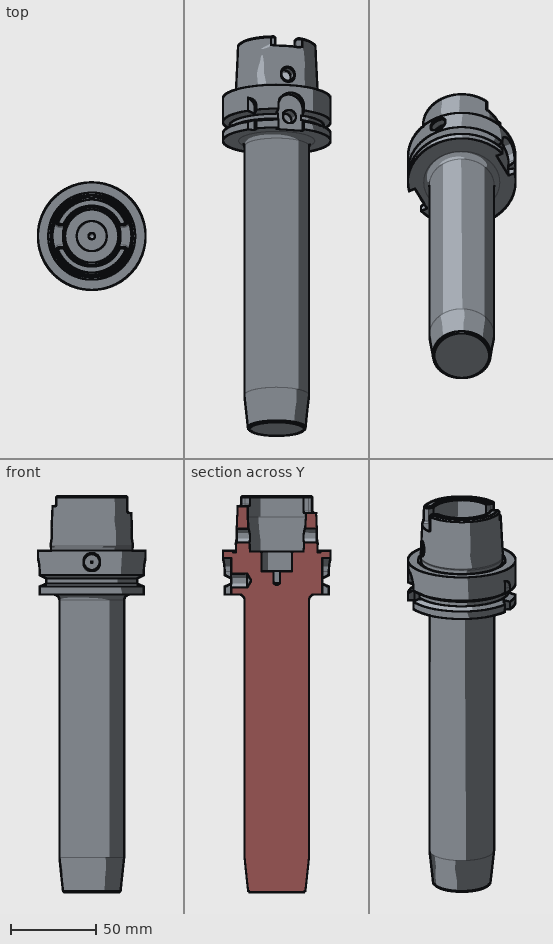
import cadquery as cq
import math


total_length = 232.0
nose_cone_height = 20.5
flange_bottom = 174.2
flange_face = 200.0
groove_bottom_edge = 178.8
groove_floor_bottom = 180.7
groove_floor_top = 183.5
groove_top_edge = 185.5

shank_radius = 19.0
nose_radius = 17.0
nose_chamfer = 1.0
shank_fillet = 3.2
flange_radius = 31.5
groove_radius = 27.5

taper_base_radius = 24.1
taper_top_radius = 22.7
taper_base = 202.5
relief_radius = 24.0
relief_step_height = 1.0
recess_radius = 25.5
recess_depth = 1.0
rim_chamfer_width = 1.5
rim_chamfer_height = 1.0

bore_radius = 17.0
bore_chamfer = 1.0
bore_straight_depth = 12.3
bore_floor_radius = 15.5
bore_floor = 199.5
thread_radius = 8.8
thread_depth = 11.5
coolant_radius = 1.9
coolant_depth = 7.0

slot_half_width = 6.3
slot_mouth_radius = 2.3
slot_floor_fillet = 1.2
slot_rim_chamfer = 1.0
left_slot_depth = 6.0
right_slot_depth = 10.0

cross_hole_radius = 4.0
cross_hole_height = 208.7
cross_hole_countersink = 0.7

keyway_half_width = 8.0
keyway_center_height = 187.5
keyway_floor = 26.7
keyway_hole_radius = 4.0
keyway_hole_height = 182.3
keyway_hole_depth = 9.3

notch_radius = 6.0
notch_center_y = 25.5
notch_center_height = 187.5
notch_floor = 20.9

chip_hole_radius = 4.6
chip_hole_height = 193.2
chip_hole_floor = 26.5
chip_hole_countersink = 0.7
chip_pinhole_radius = 0.5
chip_pinhole_depth = 2.3

drill_point_angle = 118.0


def make_body():
    """Turned outer shape, revolved about Z."""
    fillet_top_radius = shank_radius + shank_fillet
    fillet_mid = shank_fillet * (1 - math.sqrt(0.5))
    profile = (
        cq.Workplane("XZ")
        .moveTo(0, 0)
        .lineTo(nose_radius - nose_chamfer, 0)
        .lineTo(nose_radius, nose_chamfer)
        .lineTo(shank_radius, nose_cone_height)
        .lineTo(shank_radius, flange_bottom - shank_fillet)
        .threePointArc(
            (shank_radius + fillet_mid, flange_bottom - fillet_mid),
            (fillet_top_radius, flange_bottom),
        )
        .lineTo(flange_radius, flange_bottom)
        .lineTo(flange_radius, groove_bottom_edge)
        .lineTo(groove_radius, groove_floor_bottom)
        .lineTo(groove_radius, groove_floor_top)
        .lineTo(flange_radius, groove_top_edge)
        .lineTo(flange_radius, flange_face)
        .lineTo(recess_radius, flange_face)
        .lineTo(recess_radius, flange_face - recess_depth)
        .lineTo(relief_radius, flange_face - recess_depth)
        .lineTo(relief_radius, taper_base - relief_step_height)
        .lineTo(taper_base_radius, taper_base)
        .lineTo(taper_top_radius, total_length - rim_chamfer_height)
        .lineTo(taper_top_radius - rim_chamfer_width, total_length)
        .lineTo(0, total_length)
        .close()
    )
    return profile.revolve(360, (0, 0, 0), (0, 1, 0))


def make_bore():
    """Stepped bore entered from the taper end, with a conical bottom."""
    thread_floor = bore_floor - thread_depth
    coolant_floor = thread_floor - coolant_depth
    coolant_tip = coolant_floor - drill_tip(coolant_radius)
    profile = (
        cq.Workplane("XZ")
        .moveTo(0, total_length)
        .lineTo(bore_radius + bore_chamfer, total_length)
        .lineTo(bore_radius, total_length - bore_chamfer)
        .lineTo(bore_radius, total_length - bore_straight_depth)
        .lineTo(bore_floor_radius, bore_floor)
        .lineTo(thread_radius, bore_floor)
        .lineTo(thread_radius, thread_floor)
        .lineTo(coolant_radius, thread_floor)
        .lineTo(coolant_radius, coolant_floor)
        .lineTo(0, coolant_tip)
        .close()
    )
    return profile.revolve(360, (0, 0, 0), (0, 1, 0))


def drill_tip(radius):
    """Height of the cone left by a drill of the given radius."""
    return radius / math.tan(math.radians(drill_point_angle / 2))


def make_drive_slot(side, depth):
    """Slot through the rim on one side (+1 or -1 in X), its mouth rounded into the taper."""
    center_y = slot_half_width + slot_mouth_radius
    center_distance = taper_top_radius - slot_mouth_radius
    center_x = math.sqrt(center_distance**2 - center_y**2)
    rim_angle = math.atan2(center_y, center_x)
    mid_angle = (rim_angle - math.pi / 2) / 2

    def round_point(angle):
        x = center_x + slot_mouth_radius * math.cos(angle)
        y = center_y + slot_mouth_radius * math.sin(angle)
        return side * x, y

    outer_x = flange_radius * math.cos(rim_angle)
    outer_y = flange_radius * math.sin(rim_angle)
    slot = (
        cq.Workplane("XY")
        .workplane(offset=total_length - depth)
        .lineTo(0, slot_half_width)
        .lineTo(side * center_x, slot_half_width)
        .threePointArc(round_point(mid_angle), round_point(rim_angle))
        .lineTo(side * outer_x, outer_y)
        .lineTo(side * outer_x, 0)
        .close()
        .extrude(depth)
    )
    slot = slot.union(slot.mirror("XZ"))
    return slot.faces("<Z").edges("not |Y").fillet(slot_floor_fillet)


def side_cylinder(direction, height, radius, start, end, end_radius=None):
    """Cylinder or cone along a horizontal direction, between two distances from the axis."""
    x, y = direction
    base = cq.Plane(origin=(x * start, y * start, height), xDir=(-y, x, 0), normal=(x, y, 0))
    circle = cq.Workplane(base).circle(radius)
    if end_radius is None:
        return circle.extrude(end - start)
    return circle.workplane(offset=end - start).circle(end_radius).loft()


def blind_hole(direction, height, radius, floor):
    """Radial flat-bottomed hole, bored from outside the flange down to its floor."""
    return side_cylinder(direction, height, radius, floor, flange_radius)


def countersink(direction, height, radius, surface, size):
    """Cone that breaks the mouth of a radial hole where it meets a surface."""
    return side_cylinder(
        direction, height, radius, surface - size, surface + size, radius + 2 * size
    )


def make_round_topped_cut(side, floor, center_y, center_height, radius):
    """Round-topped cutter from a flat floor outward in X, open at the flange bottom."""
    drop = center_height - flange_bottom
    length = flange_radius - floor
    top = (
        cq.Workplane("YZ", origin=(side * floor, center_y, center_height))
        .circle(radius)
        .extrude(side * length)
    )
    leg = cq.Workplane("XY").box(length, 2 * radius, drop).translate(
        (side * (floor + length / 2), center_y, center_height - drop / 2)
    )
    return top.union(leg)


body = make_body().cut(make_bore())

for side, depth in ((-1, left_slot_depth), (1, right_slot_depth)):
    body = body.cut(make_drive_slot(side, depth))
slot_reach = slot_half_width + slot_mouth_radius
slot_zone = cq.selectors.BoxSelector(
    (-flange_radius, -slot_reach, total_length - slot_rim_chamfer),
    (flange_radius, slot_reach, total_length + slot_rim_chamfer),
)
body = body.faces(">Z").edges(slot_zone).chamfer(slot_rim_chamfer)

taper_slope = (taper_base_radius - taper_top_radius) / (total_length - taper_base)
cross_hole_surface = taper_base_radius - taper_slope * (cross_hole_height - taper_base)
for side in (-1, 1):
    direction = (side, 0)
    body = body.cut(side_cylinder(direction, cross_hole_height, cross_hole_radius, 0, flange_radius))
    body = body.cut(
        countersink(
            direction, cross_hole_height, cross_hole_radius, cross_hole_surface, cross_hole_countersink
        )
    )

for side in (-1, 1):
    body = body.cut(
        make_round_topped_cut(side, keyway_floor, 0, keyway_center_height, keyway_half_width)
    )

drill_end = keyway_floor - keyway_hole_depth
body = body.cut(blind_hole((-1, 0), keyway_hole_height, keyway_hole_radius, drill_end))
drill_cone = cq.Solid.makeCone(
    keyway_hole_radius,
    0,
    drill_tip(keyway_hole_radius),
    cq.Vector(-drill_end, 0, keyway_hole_height),
    cq.Vector(1, 0, 0),
)
body = body.cut(cq.Workplane(drill_cone))

body = body.cut(
    make_round_topped_cut(-1, notch_floor, notch_center_y, notch_center_height, notch_radius)
)

chip_side = (0, -1)
pinhole_floor = chip_hole_floor - chip_pinhole_depth
body = body.cut(blind_hole(chip_side, chip_hole_height, chip_hole_radius, chip_hole_floor))
body = body.cut(blind_hole(chip_side, chip_hole_height, chip_pinhole_radius, pinhole_floor))
body = body.cut(
    countersink(chip_side, chip_hole_height, chip_hole_radius, flange_radius, chip_hole_countersink)
)

result = body